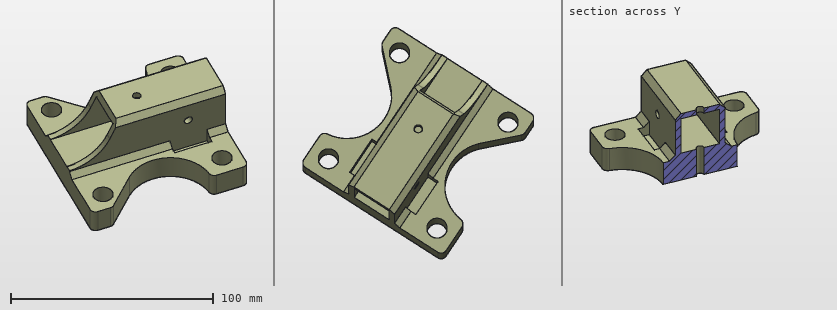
import cadquery as cq
import math

side = 84.0
half = side / 2
base_height = 13.2
corner_radius = 2.9
bolt_diameter = 10.0
bolt_spacing = 64.0
notch_radius = 22.0
flank_end_y = -14.95

total_height = 40.0
tube_width = 27.05
tube_chamfer = 3.1
foot_width = 3.1
foot_height = 2.85
bore_width = 20.5
bore_floor = 16.4
bore_top = 36.6

sweep_radius = 24.0
sweep_low = 16.6
sweep_lean = math.radians(25.5)

pocket_width = 39.1
pocket_length = 20.0
pocket_back_gap = 10.0
pocket_depth = 5.0
top_hole_diameter = 4.0
side_hole_diameter = 4.2
side_hole_y = 21.9


def make_base():
    """Square plate with a rounded notch and a 45 degree flank on each side."""
    plate = cq.Workplane("XY").rect(side, side).extrude(base_height)
    flank_run = math.sqrt(notch_radius**2 - flank_end_y**2)
    flank_start_y = flank_end_y - flank_run
    for sign in (-1, 1):
        notch = (
            cq.Workplane("XY")
            .moveTo(sign * half, flank_start_y)
            .lineTo(sign * (half - flank_run), flank_end_y)
            .threePointArc((sign * (half - notch_radius), 0), (sign * half, notch_radius))
            .close()
            .extrude(base_height)
        )
        plate = plate.cut(notch)
    plate = plate.edges("|Z and (<X or >X)").fillet(corner_radius)
    bolts = (
        cq.Workplane("XY")
        .rect(bolt_spacing, bolt_spacing, forConstruction=True)
        .vertices()
        .circle(bolt_diameter / 2)
        .extrude(base_height)
    )
    return plate.cut(bolts)


def make_tube():
    """Solid tube body with chamfered top edges and flared feet."""
    wall_x = tube_width / 2
    right = [
        (wall_x + foot_width, base_height),
        (wall_x, base_height + foot_height),
        (wall_x, total_height - tube_chamfer),
        (wall_x - tube_chamfer, total_height),
    ]
    left = [(-x, z) for x, z in reversed(right)]
    return cq.Workplane("XZ").polyline(right + left).close().extrude(half, both=True)


def make_sweep_cut():
    """Space in front of the tube's curved end."""
    center_z = sweep_low + sweep_radius

    def arc_point(angle):
        return (-half + sweep_radius * math.sin(angle), center_z - sweep_radius * math.cos(angle))

    end_angle = math.pi / 2 - sweep_lean
    end_y, end_z = arc_point(end_angle)
    top_y = end_y + (total_height - end_z) * math.tan(sweep_lean)
    return (
        cq.Workplane("YZ")
        .moveTo(-half, sweep_low)
        .threePointArc(arc_point(end_angle / 2), (end_y, end_z))
        .lineTo(top_y, total_height)
        .lineTo(-half, total_height)
        .close()
        .extrude(tube_width / 2, both=True)
    )


def make_bore():
    """Rectangular passage along the whole tube."""
    bore_height = bore_top - bore_floor
    bore = cq.Workplane("XY", origin=(0, 0, bore_floor))
    return bore.rect(bore_width, side).extrude(bore_height)


def make_pockets():
    """Blind pockets beside the tube that also interrupt its feet."""
    wall_x = tube_width / 2
    width = pocket_width / 2 - wall_x
    pocket_y = half - pocket_back_gap - pocket_length / 2
    height = pocket_depth + foot_height
    return (
        cq.Workplane("XY", origin=(0, pocket_y, base_height - pocket_depth))
        .pushPoints([(sign * (wall_x + width / 2), 0) for sign in (-1, 1)])
        .rect(width, pocket_length)
        .extrude(height)
    )


top_hole = cq.Workplane("XY").circle(top_hole_diameter / 2).extrude(total_height)
side_hole = (
    cq.Workplane("YZ")
    .center(side_hole_y, (bore_floor + bore_top) / 2)
    .circle(side_hole_diameter / 2)
    .extrude(tube_width / 2, both=True)
)

result = make_base().union(make_tube())
for cutter in (make_sweep_cut(), make_bore(), make_pockets(), top_hole, side_hole):
    result = result.cut(cutter)